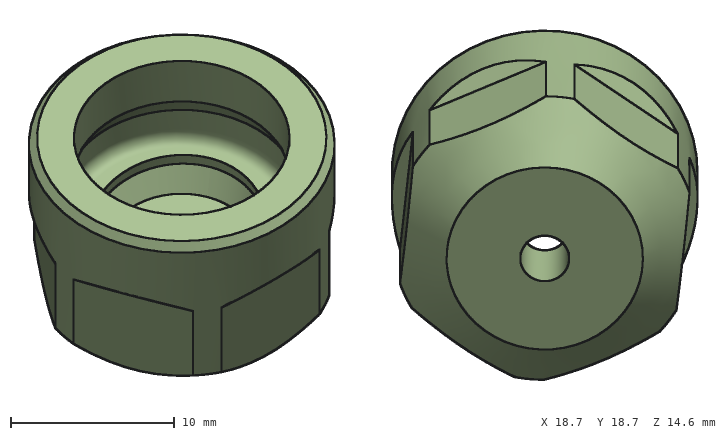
import cadquery as cq

height = 14.6
outer_radius = 9.35
base_radius = 6.0
base_cone_height = outer_radius - base_radius
rim_chamfer = 0.5

flat_count = 6
across_flats = 17.0
flat_top = 8.98

bore_radius = 13.18 / 2
bore_bottom = 11.07
chamber_radius = 14.5 / 2
chamber_top = 9.67
chamber_floor = 7.16
floor_fillet = 0.79

mouth_radius_x = 5.24
mouth_radius_y = 5.82
mouth_offset_x = -0.28
seat_radius = 9.1 / 2
taper_depth = 1.3
mouth_depth = 0.77
taper_top = chamber_floor - mouth_depth
seat_z = taper_top - taper_depth
hole_diameter = 3.0


def make_body():
    """Turned blank with a conical base and a chamfered rim."""
    return (
        cq.Workplane("XZ")
        .moveTo(0, 0)
        .lineTo(base_radius, 0)
        .lineTo(outer_radius, base_cone_height)
        .lineTo(outer_radius, height - rim_chamfer)
        .lineTo(outer_radius - rim_chamfer, height)
        .lineTo(0, height)
        .close()
        .revolve(360, (0, 0, 0), (0, 1, 0))
    )


def make_flat_cutter():
    """Prism on the -Y side that cuts one flat with a 45 degree upper shoulder."""
    flat_distance = across_flats / 2
    cut_depth = outer_radius
    return (
        cq.Workplane("YZ")
        .moveTo(-flat_distance, 0)
        .lineTo(-flat_distance, flat_top)
        .lineTo(-flat_distance - cut_depth, flat_top + cut_depth)
        .lineTo(-flat_distance - cut_depth, 0)
        .close()
        .extrude(outer_radius, both=True)
    )


def make_bore():
    """Round bore that widens into a chamber with a rounded floor corner."""
    return (
        cq.Workplane("XZ")
        .moveTo(0, height)
        .lineTo(bore_radius, height)
        .lineTo(bore_radius, bore_bottom)
        .lineTo(chamber_radius, chamber_top)
        .lineTo(chamber_radius, chamber_floor + floor_fillet)
        .radiusArc((chamber_radius - floor_fillet, chamber_floor), floor_fillet)
        .lineTo(0, chamber_floor)
        .close()
        .revolve(360, (0, 0, 0), (0, 1, 0))
    )


def make_seat():
    """Straight oval recess in the chamber floor, then a taper down to a round seat."""
    mouth = (
        cq.Workplane("XY", origin=(mouth_offset_x, 0, taper_top))
        .ellipse(mouth_radius_x, mouth_radius_y)
        .extrude(mouth_depth)
    )
    taper = (
        cq.Workplane("XY", origin=(0, 0, seat_z))
        .circle(seat_radius)
        .workplane(offset=taper_depth)
        .center(mouth_offset_x, 0)
        .ellipse(mouth_radius_x, mouth_radius_y)
        .loft(ruled=True)
    )
    return mouth.union(taper)


body = make_body()
flat_cutter = make_flat_cutter()
for index in range(flat_count):
    angle = index * 360 / flat_count
    body = body.cut(flat_cutter.rotate((0, 0, 0), (0, 0, 1), angle))

through_hole = cq.Workplane("XY").circle(hole_diameter / 2).extrude(height)
result = body.cut(make_bore()).cut(make_seat()).cut(through_hole)